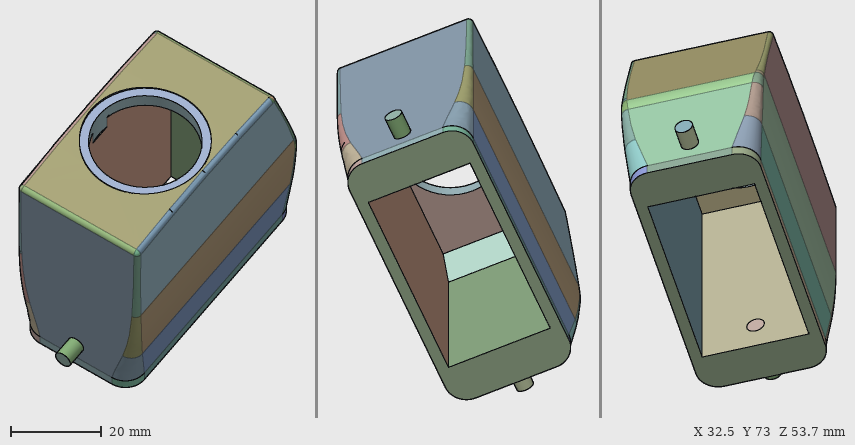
import cadquery as cq
import math


pin_span = 73.0
hood_width = 32.5
hood_height = 53.7

rim_width = 29.65
rim_length = 63.1
rim_height = 2.5

side_bend_z = 20.6
side_bend_reach = 8.25

end_draft = math.radians(0.75)
nose_bend_z = 26.0
nose_bend_radius = 13.15
nose_angle = math.radians(19.5)

roof_radius = 292.0
roof_crest_y = -5.5
roof_edge_radius = 1.2

rim_corner_radius = 5.1
lean_corner_radius = 3.15
wall_corner_radius = 1.45
top_corner_radius = 1.1

entry_y = -5.0
entry_diameter = 25.0
entry_depth = 7.15
seat_diameter = 29.05
seat_depth = 0.6

cavity_width = 24.4
cavity_length = 44.4
roof_thickness = 3.6
nose_wall = 3.65

pin_diameter = 4.0
pin_z = 7.1

seat_z = hood_height - seat_depth
ceiling_z = seat_z - roof_thickness
stock_top_z = hood_height + roof_thickness
side_lean = math.atan((hood_width - rim_width) / 2 / (side_bend_z - rim_height))
lean_top_x = hood_width / 2 - side_bend_reach * math.sin(side_lean)
lean_top_z = side_bend_z - side_bend_reach * math.cos(side_lean)
upright_z = side_bend_z + side_bend_reach
corner_radii = [
    (rim_height, rim_corner_radius),
    (lean_top_z, lean_corner_radius),
    (upright_z, wall_corner_radius),
    (stock_top_z, top_corner_radius),
]


def end_wall_y(z):
    """Distance of the drafted end walls from the middle at height z."""
    return rim_length / 2 - (z - rim_height) * math.tan(end_draft)


def nose_y(z):
    """Y of the sloped nose face at height z."""
    return end_wall_y(nose_bend_z) - (z - nose_bend_z) * math.tan(nose_angle)


def corner_radius(z):
    """Radius of the upright corners at height z, linear between the listed heights."""
    for (low_z, low_radius), (high_z, high_radius) in zip(corner_radii, corner_radii[1:]):
        if z <= high_z:
            break
    return low_radius + (high_radius - low_radius) * (z - low_z) / (high_z - low_z)


def prism_along_x(outline, width):
    """Prism of a YZ outline, running along X and centred on X = 0."""
    return (
        cq.Workplane("YZ", origin=(-width / 2, 0, 0))
        .polyline(outline)
        .close()
        .extrude(width)
    )


def make_sharp_walls():
    """Outer walls above the rim with sharp upright corners: end outline crossed with side outline."""
    end_prism = (
        cq.Workplane("XZ", origin=(0, rim_length, 0))
        .moveTo(-rim_width / 2, rim_height)
        .lineTo(rim_width / 2, rim_height)
        .lineTo(lean_top_x, lean_top_z)
        .tangentArcPoint((hood_width / 2, upright_z), relative=False)
        .lineTo(hood_width / 2, stock_top_z)
        .lineTo(-hood_width / 2, stock_top_z)
        .lineTo(-hood_width / 2, upright_z)
        .tangentArcPoint((-lean_top_x, lean_top_z), relative=False)
        .close()
        .extrude(2 * rim_length)
    )
    side_outline = [
        (-end_wall_y(rim_height), rim_height),
        (end_wall_y(rim_height), rim_height),
        (end_wall_y(nose_bend_z), nose_bend_z),
        (nose_y(stock_top_z), stock_top_z),
        (-end_wall_y(stock_top_z), stock_top_z),
    ]
    side_prism = prism_along_x(side_outline, 2 * hood_width)
    nose_bend = (0, end_wall_y(nose_bend_z), nose_bend_z)
    side_prism = side_prism.edges(cq.NearestToPointSelector(nose_bend)).fillet(nose_bend_radius)
    return end_prism.intersect(side_prism)


def round_upright_corners(walls):
    """Round the four upright corners with a radius that changes along their height."""
    rounding = cq.occ_impl.shapes.BRepFilletAPI_MakeFillet(walls.solids().val().wrapped)
    for x in (-rim_width / 2, rim_width / 2):
        for y in (-rim_length / 2, rim_length / 2):
            foot = (x, y, (rim_height + lean_top_z) / 2)
            rounding.Add(walls.edges(cq.NearestToPointSelector(foot)).val().wrapped)
    for corner in range(1, rounding.NbContours() + 1):
        start_z = cq.Vertex(rounding.FirstVertex(corner)).Z
        runs_up = start_z < side_bend_z
        for piece in range(1, rounding.NbEdges(corner) + 1):
            span = cq.Edge(rounding.Edge(corner, piece)).BoundingBox()
            radii = [corner_radius(span.zmin), corner_radius(span.zmax)]
            if not runs_up:
                radii.reverse()
            rounding.SetRadius(radii[0], radii[1], corner, piece)
    return cq.Workplane(cq.Shape.cast(rounding.Shape()).Solids()[0])


def make_shell():
    """Outer shape of the hood: rim, rounded walls and domed roof with a rounded edge."""
    walls = round_upright_corners(make_sharp_walls())
    dome = (
        cq.Workplane("YZ")
        .center(roof_crest_y, hood_height - roof_radius)
        .circle(roof_radius)
        .extrude(hood_width, both=True)
    )
    walls = walls.intersect(dome)
    walls = walls.faces(">Z").edges().fillet(roof_edge_radius)
    rim = (
        cq.Workplane("XY")
        .rect(rim_width, rim_length)
        .extrude(rim_height)
        .edges("|Z")
        .fillet(rim_corner_radius)
    )
    return rim.union(walls)


def make_cavity():
    """Space inside the hood, with a ceiling that follows the sloped nose."""
    half_length = cavity_length / 2
    slope_run = end_wall_y(nose_bend_z) - nose_wall - half_length
    slope_foot_z = nose_bend_z + slope_run / math.tan(nose_angle)
    outline = [
        (-half_length, 0),
        (half_length, 0),
        (half_length, slope_foot_z),
        (nose_y(ceiling_z) - nose_wall, ceiling_z),
        (-half_length, ceiling_z),
    ]
    return prism_along_x(outline, cavity_width)


def cylinder_down(diameter, top_z, depth):
    """Upright cylinder on the cable entry axis, reaching down from top_z."""
    return (
        cq.Workplane("XY", origin=(0, entry_y, top_z))
        .circle(diameter / 2)
        .extrude(-depth)
    )


def make_pin(end):
    """Locating pin through the end wall on the -Y (end = -1) or +Y (end = 1) side."""
    return (
        cq.Workplane("XZ", origin=(0, end * cavity_length / 2, pin_z))
        .circle(pin_diameter / 2)
        .extrude(-end * (pin_span - cavity_length) / 2)
    )


def make_hood(pin):
    """Hood with the +Y pin formed in one with it and a bore for the separate pin."""
    return (
        make_shell()
        .cut(make_cavity())
        .cut(cylinder_down(seat_diameter, stock_top_z, stock_top_z - seat_z))
        .cut(cylinder_down(entry_diameter, seat_z, entry_depth))
        .union(make_pin(1))
        .cut(pin)
    )


pin = make_pin(-1)
hood = make_hood(pin)
result = cq.Compound.makeCompound([hood.val(), pin.val()])